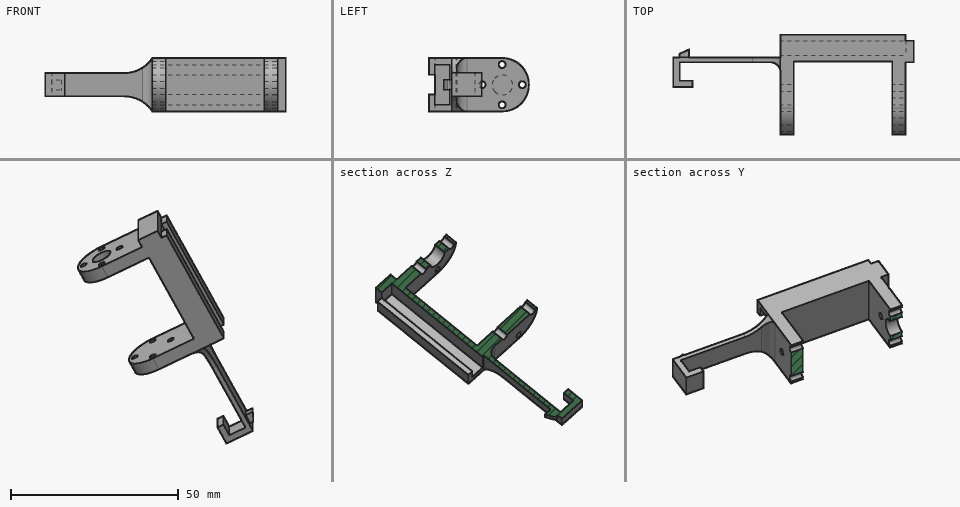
import cadquery as cq
import math


height = 16.0
mid_z = height / 2
bar_left = 32.0
bar_length = 37.25
bar_right = bar_left + bar_length
bar_depth = 8.0
ear_thickness = 4.0
ear_radius = height / 2
bracket_depth = 29.8
ear_center_y = ear_radius - bracket_depth

screw_diameter = 2.0
screw_circle_radius = 6.0
screw_count = 4
shaft_diameter = 6.0

slot_mouth_height = 5.8
slot_lip = 1.75
slot_cavity_height = 12.0
slot_cavity_depth = 4.4

cap_length = 2.5
cap_width = 6.5

arm_height = 7.0
arm_thickness = 1.5
arm_back_y = -6.75
arm_front_y = arm_back_y - arm_thickness
flare_radius = 10.0
root_fillet = 3.0
hook_wall = 2.0
hook_depth = 8.9
hook_length = 5.85

barb_left = 1.85
barb_right = 4.8
barb_height = 3.0
barb_high_rise = 2.35
barb_low_rise = 1.1
barb_nose_radius = 0.7


def box(x_min, x_max, y_min, y_max, box_height):
    """Box between the given X and Y limits, centred on the mid-height."""
    return (
        cq.Workplane("XY")
        .box(x_max - x_min, y_max - y_min, box_height, centered=(False, False, True))
        .translate((x_min, y_min, mid_z))
    )


def make_ear(left_x):
    """Ear with a full-round tip, reaching forward from the back of the bar."""
    return (
        cq.Workplane("YZ", origin=(left_x, 0, 0))
        .moveTo(0, 0)
        .lineTo(ear_center_y, 0)
        .threePointArc((ear_center_y - ear_radius, mid_z), (ear_center_y, height))
        .lineTo(0, height)
        .close()
        .extrude(ear_thickness)
    )


def make_bracket():
    """Back bar with an ear at each end."""
    bar = box(bar_left, bar_right, -bar_depth, 0, height)
    left_ear = make_ear(bar_left)
    right_ear = make_ear(bar_right - ear_thickness)
    return bar.union(left_ear).union(right_ear)


def make_t_slot():
    """Wide cavity with a narrower mouth open to the back, running the length of the bar."""
    cavity_front_y = -slot_lip - slot_cavity_depth
    cavity = box(bar_left, bar_right, cavity_front_y, -slot_lip, slot_cavity_height)
    mouth = box(bar_left, bar_right, -slot_lip, 0, slot_mouth_height)
    return cavity.union(mouth)


def make_end_cap():
    """Full-height block on the right end of the bar, closing the slot."""
    return box(bar_right, bar_right + cap_length, -slot_lip - cap_width, -slot_lip, height)


def make_screw_holes():
    """Four holes around the ear axis, long enough to pierce both ears."""
    return (
        cq.Workplane("YZ", origin=(bar_left, ear_center_y, mid_z))
        .polarArray(screw_circle_radius, 0, 360, screw_count)
        .circle(screw_diameter / 2)
        .extrude(bar_length)
    )


def make_shaft_hole():
    """Central hole through the right ear only."""
    return (
        cq.Workplane("YZ", origin=(bar_right - ear_thickness, ear_center_y, mid_z))
        .circle(shaft_diameter / 2)
        .extrude(ear_thickness)
    )


def make_arm_side_profile():
    """Arm in XZ, flaring by two arcs to the full height at the bracket, as a solid in Y."""
    half_arm = arm_height / 2
    flare_rise = mid_z - half_arm
    flare_length = math.sqrt(flare_radius**2 - (flare_radius - flare_rise) ** 2)
    flare_start = bar_left - flare_length
    half_angle = math.asin(flare_length / flare_radius) / 2
    arc_mid_x = flare_start + flare_radius * math.sin(half_angle)
    arc_mid_half = half_arm + flare_radius * (1 - math.cos(half_angle))
    return (
        cq.Workplane("XZ", origin=(0, 0, mid_z))
        .moveTo(0, -half_arm)
        .lineTo(flare_start, -half_arm)
        .threePointArc((arc_mid_x, -arc_mid_half), (bar_left, -mid_z))
        .lineTo(bar_left, mid_z)
        .threePointArc((arc_mid_x, arc_mid_half), (flare_start, half_arm))
        .lineTo(0, half_arm)
        .close()
        .extrude(bracket_depth)
    )


def make_arm():
    """Hooked arm outline in XY, with a root fillet, trimmed to the flared side profile."""
    hook_front_y = arm_back_y - hook_depth
    fillet_mid = root_fillet * (1 - math.sqrt(0.5))
    outline = (
        cq.Workplane("XY")
        .moveTo(0, arm_back_y)
        .lineTo(0, hook_front_y)
        .lineTo(hook_length, hook_front_y)
        .lineTo(hook_length, hook_front_y + hook_wall)
        .lineTo(hook_wall, hook_front_y + hook_wall)
        .lineTo(hook_wall, arm_front_y)
        .lineTo(bar_left - root_fillet, arm_front_y)
        .threePointArc(
            (bar_left - fillet_mid, arm_front_y - fillet_mid),
            (bar_left, arm_front_y - root_fillet),
        )
        .lineTo(bar_left, arm_back_y)
        .close()
        .extrude(height)
    )
    return outline.intersect(make_arm_side_profile())


def make_barb():
    """Wedge rising towards the bracket, with a rounded nose at its low end."""
    wedge = (
        cq.Workplane("XY", origin=(0, arm_back_y, mid_z - barb_height / 2))
        .moveTo(barb_left, 0)
        .lineTo(barb_left, barb_low_rise)
        .lineTo(barb_right, barb_high_rise)
        .lineTo(barb_right, 0)
        .close()
        .extrude(barb_height)
    )
    nose_edge = cq.selectors.NearestToPointSelector((barb_left, arm_back_y + barb_low_rise, mid_z))
    return wedge.edges(nose_edge).fillet(barb_nose_radius)


bracket = make_bracket().cut(make_t_slot()).union(make_end_cap())
bracket = bracket.cut(make_screw_holes()).cut(make_shaft_hole())
result = bracket.union(make_arm()).union(make_barb())